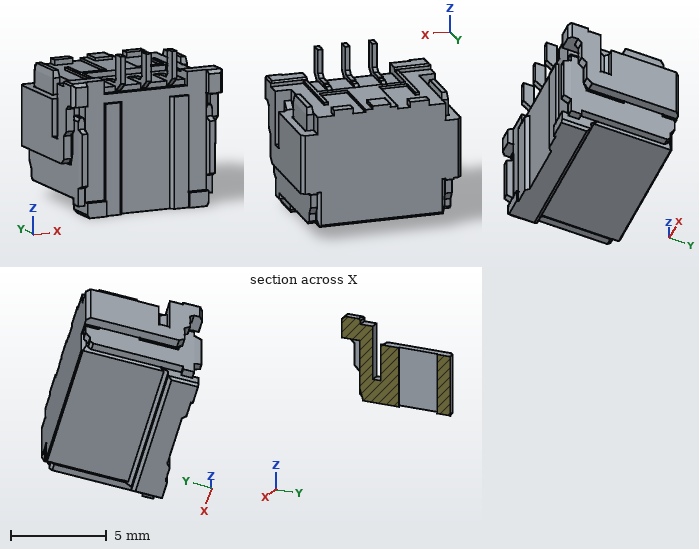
import cadquery as cq

TOTAL_HEIGHT = 8.5
FRAME_TOP = 7.25
RAISED_TOP = 7.09
DECK_TOP = 6.96
POCKET_FLOOR = 6.79
FRONT_WALL_TOP = 6.49
WING_TOP = 6.01
WING_BOTTOM = 2.76
BODY_BOTTOM = 0.82

WING_X = 4.4
SKIN_X = 3.96
PANEL_X = 3.89
BODY_X = 3.52
NOTCH_X = 2.4
DECK_RIB_X = 2.61
CENTRE_BAND_X = 0.89

DEPTH = 6.4
BLOCK_FRONT = 0.06
RIB_FRONT = 0.17
WALL_FRONT = 0.36
PANEL_FRONT = 0.405
WALL_BACK = 0.67
FRAME_BACK = 1.17
SHOULDER_BACK = 1.88
POCKET_BACK = 2.95
CROSS_BAND_BACK = 3.26
DECK_RIB_BACK = 4.7
ARM_FRONT = 3.41
ARM_BACK = 5.69

BACK_CHAMFER = 0.2
FRONT_CHAMFER = 0.185
FRAME_CHAMFER = 0.1

PIN_PITCH = 1.5
PIN_WIDTH = 0.26
PIN_DEPTH = 0.6


def box(x0, x1, y0, y1, z0, z1):
    """Block between opposite corner coordinates."""
    return cq.Workplane("XY").box(x1 - x0, y1 - y0, z1 - z0, centered=False).translate((x0, y0, z0))


def side_profile(points, x0, x1):
    """Outline of (y, z) points, extruded from x0 to x1."""
    return cq.Workplane("YZ").polyline(points).close().extrude(x1 - x0).translate((x0, 0, 0))


def front_profile(points, y0, y1):
    """Outline of (x, z) points, extruded from y0 to y1."""
    return cq.Workplane("XZ").polyline(points).close().extrude(y0 - y1).translate((0, y0, 0))


def plan_profile(points, z0, z1):
    """Outline of (x, y) points, extruded from z0 to z1."""
    return cq.Workplane("XY").polyline(points).close().extrude(z1 - z0).translate((0, 0, z0))


def both_sides(shape):
    """A shape together with its mirror image across the middle plane X = 0."""
    return shape.union(shape.mirror("YZ"))


def side_edge_cut(bottom, width, height):
    """Wedge along Y that bevels the lower side edge of the body at the given height."""
    return front_profile(
        [(BODY_X, bottom), (BODY_X - width, bottom), (BODY_X, bottom + height)],
        0, DEPTH,
    )


def make_body():
    """Central block standing on a foot along its front."""
    block = box(-BODY_X, BODY_X, WALL_FRONT, DEPTH, BODY_BOTTOM, DECK_TOP)
    block = block.edges("|Z and >Y").chamfer(BACK_CHAMFER)
    block = block.union(box(-BODY_X, BODY_X, WALL_FRONT, DEPTH, WING_BOTTOM, DECK_TOP))

    side_bevel_width = 0.13
    side_bevel_height = 0.4
    block = block.cut(both_sides(side_edge_cut(BODY_BOTTOM, side_bevel_width, side_bevel_height)))
    back_bevel_depth = 0.07
    back_bevel_height = 0.11
    block = block.cut(
        side_profile(
            [
                (DEPTH, BODY_BOTTOM),
                (DEPTH - back_bevel_depth, BODY_BOTTOM),
                (DEPTH, BODY_BOTTOM + back_bevel_height),
            ],
            -BODY_X, BODY_X,
        )
    )

    foot_back = 1.72
    foot_top = BODY_BOTTOM + side_bevel_height
    foot_bevel = 0.2
    neck_z = 0.62
    foot = side_profile(
        [
            (WALL_FRONT, 0),
            (foot_back - foot_bevel, 0),
            (foot_back, foot_bevel),
            (foot_back, neck_z),
            (foot_back + foot_top - neck_z, foot_top),
            (WALL_FRONT, foot_top),
        ],
        -BODY_X, BODY_X,
    )
    for inner, outer in ((NOTCH_X, BODY_X), (-BODY_X, -NOTCH_X)):
        foot = foot.union(box(inner, outer, BLOCK_FRONT, WALL_FRONT, 0, BODY_BOTTOM))

    foot_edge_width = 0.11
    foot_edge_height = 0.185
    foot = foot.cut(both_sides(side_edge_cut(0, foot_edge_width, foot_edge_height)))
    return block.union(foot)


def make_frame():
    """Front column and the lug outside it, with bevelled top edges."""
    column = box(NOTCH_X, BODY_X, WALL_FRONT, FRAME_BACK, WING_TOP, FRAME_TOP)
    lug = box(BODY_X, WING_X, BLOCK_FRONT, FRAME_BACK, WING_TOP, FRAME_TOP)
    lug = lug.edges("(>X and <Y) or (<Y and >Z)").chamfer(FRONT_CHAMFER)
    lug = lug.edges(">X and >Z").chamfer(FRAME_CHAMFER)
    frame = column.union(lug)
    back_cut = side_profile(
        [
            (FRAME_BACK, FRAME_TOP),
            (FRAME_BACK - FRAME_CHAMFER, FRAME_TOP),
            (FRAME_BACK, FRAME_TOP - FRAME_CHAMFER),
        ],
        NOTCH_X, WING_X,
    )
    shoulder = box(BODY_X, WING_X, FRAME_BACK, SHOULDER_BACK, WING_TOP, DECK_TOP)
    return frame.cut(back_cut).union(shoulder)


def make_wing():
    """Side wing: stepped outer skin, inner core, slot behind the shoulder and slit beside the arm."""
    step_bevel = 0.3
    step_front = 0.78
    step_middle = step_front + step_bevel
    step_back = step_middle + step_bevel
    upper_step_z = 4.6
    top_bevel = 0.21
    skin = side_profile(
        [
            (DEPTH, WING_BOTTOM),
            (step_back, WING_BOTTOM),
            (step_middle, WING_BOTTOM + step_bevel),
            (step_middle, upper_step_z - step_bevel),
            (step_front, upper_step_z),
            (step_front, WING_TOP - top_bevel),
            (step_front - top_bevel, WING_TOP),
            (DEPTH, WING_TOP),
        ],
        SKIN_X, WING_X,
    )
    core_front = 1.09
    core_toe = 1.28
    core_bottom = 2.68
    core_slope_top = 3.34
    core = side_profile(
        [
            (DEPTH, core_bottom),
            (core_toe, core_bottom),
            (core_toe, WING_BOTTOM),
            (core_front, core_slope_top),
            (core_front, WING_TOP),
            (DEPTH, WING_TOP),
        ],
        BODY_X, SKIN_X,
    )
    wing = skin.union(core)
    wing = wing.edges("|Z and >X and >Y").chamfer(BACK_CHAMFER)

    slot_back = 2.48
    slot_bottom = 4.0
    bevel = 0.19
    slot = plan_profile(
        [
            (WING_X, SHOULDER_BACK),
            (WING_X, slot_back),
            (PANEL_X + bevel, slot_back),
            (PANEL_X, slot_back - bevel),
            (PANEL_X, SHOULDER_BACK),
        ],
        slot_bottom, WING_TOP,
    )
    slit_back = 5.61
    slit = box(PANEL_X, SKIN_X, ARM_FRONT, slit_back, core_bottom, WING_TOP)
    return wing.cut(slot).cut(slit)


def make_gusset():
    """Sloped wedge of material between the shoulder and the wing top."""
    gusset_back = 2.29
    gusset_top = 6.36
    return side_profile(
        [(SHOULDER_BACK, WING_TOP), (gusset_back, WING_TOP), (SHOULDER_BACK, gusset_top)],
        BODY_X, PANEL_X,
    )


def make_arm():
    """Tapered upright on the wing top."""
    arm_top = 7.28
    taper_start = 6.89
    taper = 0.13
    arm = side_profile(
        [
            (ARM_FRONT, WING_TOP),
            (ARM_BACK, WING_TOP),
            (ARM_BACK, taper_start),
            (ARM_BACK - taper, arm_top),
            (ARM_FRONT + taper, arm_top),
            (ARM_FRONT, taper_start),
        ],
        BODY_X, PANEL_X,
    )
    side_taper = 0.04
    cross_section = front_profile(
        [
            (BODY_X, WING_TOP),
            (PANEL_X, WING_TOP),
            (PANEL_X, taper_start),
            (PANEL_X - side_taper, arm_top),
            (BODY_X + side_taper, arm_top),
            (BODY_X, taper_start),
        ],
        ARM_FRONT, ARM_BACK,
    )
    return arm.intersect(cross_section)


def make_side_panel():
    """Lower side panel with a bevel-topped front leg and a bevelled pad on its front."""
    panel_bottom = 0.93
    panel_back = 6.33
    panel_slope_top = 1.94
    heel_back = 6.08
    heel_top = 1.51
    heel_bevel = 0.18
    toe_bottom = 0.62
    toe_back = 1.01
    leg_back = 1.28
    leg_top = 5.35
    leg_bevel_width = 0.09
    leg_bevel_height = 0.2
    panel = side_profile(
        [
            (PANEL_FRONT, toe_bottom),
            (toe_back, toe_bottom),
            (toe_back, panel_bottom),
            (heel_back - heel_bevel, panel_bottom),
            (heel_back, panel_bottom + heel_bevel),
            (heel_back, heel_top),
            (panel_back, panel_slope_top),
            (panel_back, WING_BOTTOM),
            (PANEL_FRONT, WING_BOTTOM),
        ],
        BODY_X, PANEL_X,
    )
    leg = front_profile(
        [
            (BODY_X, WING_BOTTOM),
            (PANEL_X, WING_BOTTOM),
            (PANEL_X, leg_top - leg_bevel_height),
            (PANEL_X - leg_bevel_width, leg_top),
            (BODY_X + leg_bevel_width, leg_top),
            (BODY_X, leg_top - leg_bevel_height),
        ],
        PANEL_FRONT, leg_back,
    )

    pad_bottom = 1.57
    pad_top = 4.73
    pad_bevel = 0.185
    pad = side_profile(
        [
            (PANEL_FRONT, pad_bottom),
            (0, pad_bottom + pad_bevel),
            (0, pad_top - pad_bevel),
            (PANEL_FRONT, pad_top),
        ],
        BODY_X, PANEL_X,
    )
    pad_draft = 0.035
    pad_plan = plan_profile(
        [
            (BODY_X, PANEL_FRONT),
            (BODY_X + pad_draft, 0),
            (PANEL_X - pad_draft, 0),
            (PANEL_X, PANEL_FRONT),
        ],
        pad_bottom, pad_top,
    )
    return panel.union(leg).union(pad.intersect(pad_plan))


def make_front_rib():
    """Upright rib on the front wall with a sloped inner flank."""
    rib_inner = 1.57
    flank = 0.18
    return plan_profile(
        [
            (NOTCH_X, WALL_FRONT),
            (NOTCH_X, RIB_FRONT),
            (rib_inner, RIB_FRONT),
            (rib_inner - flank, WALL_FRONT),
        ],
        0, WING_TOP,
    )


def make_deck_details():
    """Raised bands, ribs and stop blocks on the top deck."""
    corner_inner = 1.57
    corner_front = 5.89
    tab_half_width = 0.49
    tab_front = 5.39
    details = both_sides(
        box(NOTCH_X, DECK_RIB_X, FRAME_BACK, DECK_RIB_BACK, DECK_TOP, RAISED_TOP)
        .union(box(corner_inner, DECK_RIB_X, corner_front, DEPTH, DECK_TOP, FRAME_TOP))
    )
    cross_band = box(-NOTCH_X, NOTCH_X, POCKET_BACK, CROSS_BAND_BACK, DECK_TOP, RAISED_TOP)
    centre_band = box(-CENTRE_BAND_X, CENTRE_BAND_X, POCKET_BACK, DEPTH, DECK_TOP, RAISED_TOP)
    tab = box(-tab_half_width, tab_half_width, tab_front, DEPTH, DECK_TOP, FRAME_TOP)
    return details.union(cross_band).union(centre_band).union(tab)


def make_pocket():
    """Terminal pocket: a shallow floor with a deeper step at the front wall."""
    floor = box(-NOTCH_X, NOTCH_X, WALL_BACK, POCKET_BACK, POCKET_FLOOR, FRAME_TOP)
    front_step = box(-NOTCH_X, NOTCH_X, WALL_FRONT, WALL_BACK, FRONT_WALL_TOP, FRAME_TOP)
    return floor.union(front_step)


def make_pin(x):
    """Bent terminal: upright post, bevelled heel and a tail lying on the pocket floor."""
    tail_back = 2.31
    tip_start = 1.94
    tip_front = 1.59
    tip_top = 6.92
    tail_top = 6.99
    bend = 0.21
    heel_start = 7.04
    heel_bottom = 6.55
    return side_profile(
        [
            (0, TOTAL_HEIGHT),
            (0, heel_start),
            (PIN_DEPTH, heel_bottom),
            (WALL_BACK, heel_bottom),
            (WALL_BACK, POCKET_FLOOR),
            (tail_back, POCKET_FLOOR),
            (tip_start, tip_top),
            (tip_front, tip_top),
            (tip_front, tail_top),
            (PIN_DEPTH + bend, tail_top),
            (PIN_DEPTH, tail_top + bend),
            (PIN_DEPTH, TOTAL_HEIGHT),
        ],
        x - PIN_WIDTH / 2, x + PIN_WIDTH / 2,
    )


side = make_frame()
for make_feature in (make_wing, make_gusset, make_arm, make_side_panel, make_front_rib):
    side = side.union(make_feature())

result = make_body().union(both_sides(side)).union(make_deck_details()).cut(make_pocket())
for pin_index in (-1, 0, 1):
    result = result.union(make_pin(pin_index * PIN_PITCH))